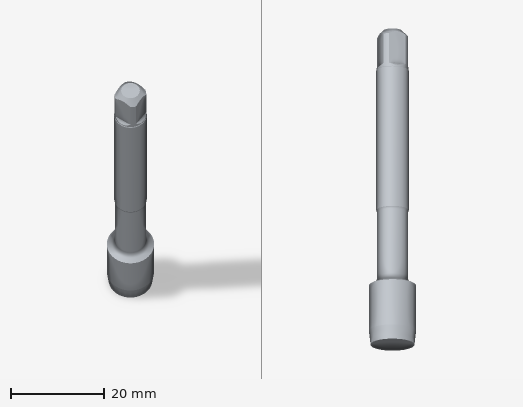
import cadquery as cq
import math

total_length = 70.1

thread_diameter = 10.15
tip_diameter = 9.45
lead_length = 3.1
thread_length = 13.2

neck_diameter = 6.7
shank_diameter = 7.0
shoulder_angle = math.radians(28)
neck_fillet_radius = 1.05
neck_fillet_top = 30.0
shank_end = 61.2

drive_corner_diameter = 6.8
corner_chamfer_height = 0.15
square_width = 5.6
square_bottom = 62.2
runout_depth = (shank_diameter - square_width) / 2
end_face_diameter = 4.0


def make_thread_section():
    """Cylinder for the thread envelope with a tapered lead at the tip."""
    profile = (
        cq.Workplane("XZ")
        .lineTo(tip_diameter / 2, 0)
        .lineTo(thread_diameter / 2, lead_length)
        .lineTo(thread_diameter / 2, thread_length)
        .lineTo(0, thread_length)
        .close()
    )
    return profile.revolve(360, (0, 0), (0, 1))


def make_turned_shank():
    """Shoulder cone, filleted neck, shank and chamfered drive end, before the flats are cut."""
    neck_radius = neck_diameter / 2
    shank_radius = shank_diameter / 2
    thread_radius = thread_diameter / 2
    corner_radius = drive_corner_diameter / 2
    end_radius = end_face_diameter / 2
    fillet_center_radius = neck_radius + neck_fillet_radius

    lower_sweep = math.pi / 2 - shoulder_angle
    cone_top_radius = fillet_center_radius - neck_fillet_radius * math.cos(lower_sweep)
    cone_top = thread_length + (thread_radius - cone_top_radius) * math.tan(shoulder_angle)
    lower_fillet_center = cone_top + neck_fillet_radius * math.sin(lower_sweep)

    upper_sweep = math.acos((fillet_center_radius - shank_radius) / neck_fillet_radius)
    upper_fillet_center = neck_fillet_top - neck_fillet_radius * math.sin(upper_sweep)

    def fillet_point(center_height, angle):
        return (
            fillet_center_radius - neck_fillet_radius * math.cos(angle),
            center_height + neck_fillet_radius * math.sin(angle),
        )

    profile = (
        cq.Workplane("XZ")
        .moveTo(0, thread_length)
        .lineTo(thread_radius, thread_length)
        .lineTo(cone_top_radius, cone_top)
        .threePointArc(
            fillet_point(lower_fillet_center, -lower_sweep / 2),
            (neck_radius, lower_fillet_center),
        )
        .lineTo(neck_radius, upper_fillet_center)
        .threePointArc(
            fillet_point(upper_fillet_center, upper_sweep / 2),
            (shank_radius, neck_fillet_top),
        )
        .lineTo(shank_radius, shank_end)
        .lineTo(corner_radius, shank_end + corner_chamfer_height)
        .lineTo(corner_radius, total_length - (corner_radius - end_radius))
        .lineTo(end_radius, total_length)
        .lineTo(0, total_length)
        .close()
    )
    return profile.revolve(360, (0, 0), (0, 1))


def make_flat_cutter():
    """Block that mills the +X flat, ending in a 45 degree runout."""
    flat = square_width / 2
    outer = flat + runout_depth
    return (
        cq.Workplane("XZ")
        .moveTo(flat, square_bottom)
        .lineTo(outer, square_bottom - runout_depth)
        .lineTo(outer, total_length)
        .lineTo(flat, total_length)
        .close()
        .extrude(shank_diameter / 2, both=True)
    )


def make_shank():
    """Turned shank with four flats forming the square drive."""
    shank = make_turned_shank()
    for side in range(4):
        shank = shank.cut(make_flat_cutter().rotate((0, 0, 0), (0, 0, 1), 90 * side))
    return shank


thread_section = make_thread_section()
shank = make_shank()

result = cq.Compound.makeCompound([thread_section.val(), shank.val()])